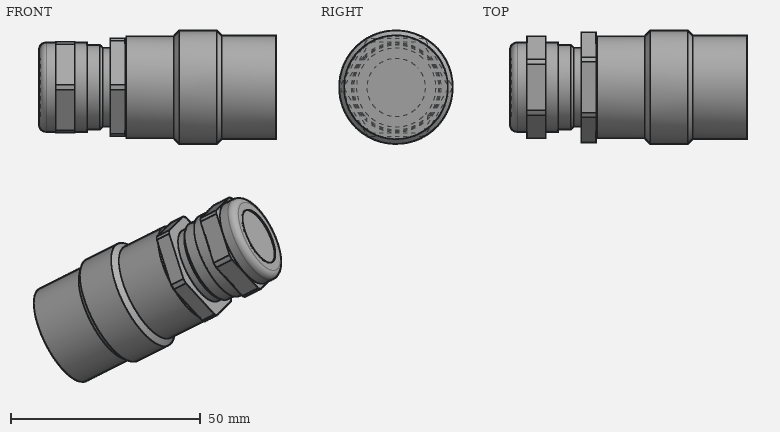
import cadquery as cq

total_length = 62.45

nut_radius = 11.8
nut_rounding = 1.95
nut_end = 12.7
recess_radius = 7.7
recess_depth = 0.3

collar_radius = 11.2
collar_end = 16.8
neck_radius = 10.4
collar_chamfer = collar_radius - neck_radius
undercut_radius = 11.5
undercut_length = 0.3

nut_hex_start = 4.45
nut_hex_length = 5.05
nut_hex_flats = 24.0
nut_hex_corners = 26.9
gland_hex_start = 18.75
gland_hex_length = 3.95
gland_hex_flats = 25.85
gland_hex_corners = 29.1
gland_hex_end = gland_hex_start + gland_hex_length

body_start = gland_hex_end + undercut_length
body_radius = 13.5
sleeve_radius = 15.0
sleeve_front_cone_length = 1.45
sleeve_start = 35.5
sleeve_end = 48.15
tail_radius = 13.7
sleeve_rear_cone_length = sleeve_radius - tail_radius


def rod(start, end, radius):
    """Cylinder along X between two stations."""
    return cq.Workplane("YZ", origin=(start, 0, 0)).circle(radius).extrude(end - start)


def hexagon(start, length, flats, corners):
    """Hexagon along X with flats facing +/-Z and its corners turned round."""
    side_angle = 60
    blank = rod(start, start + length, corners / 2)
    for turn in range(3):
        slab = cq.Workplane("XY").box(length, corners, flats, centered=(False, True, True))
        slab = slab.rotate((0, 0, 0), (1, 0, 0), turn * side_angle)
        blank = blank.intersect(slab.translate((start, 0, 0)))
    return blank


def clamping_nut():
    """Round nut with a rolled front edge and a shallow recess in its face."""
    nut = rod(0, nut_end, nut_radius).faces("<X").edges().fillet(nut_rounding)
    nut = nut.union(hexagon(nut_hex_start, nut_hex_length, nut_hex_flats, nut_hex_corners))
    return nut.cut(rod(0, recess_depth, recess_radius))


def gland():
    """Collar, neck, hexagon and undercut between the nut and the body."""
    collar = rod(nut_end, collar_end, collar_radius).faces(">X").edges().chamfer(collar_chamfer)
    neck = rod(collar_end, gland_hex_start, neck_radius)
    gland_hex = hexagon(gland_hex_start, gland_hex_length, gland_hex_flats, gland_hex_corners)
    undercut = rod(gland_hex_end, body_start, undercut_radius)
    return collar.union(neck).union(gland_hex).union(undercut)


def connector_body():
    """Turned body, coned sleeve and plain tail."""
    return (
        cq.Workplane("XY")
        .moveTo(body_start, 0)
        .lineTo(body_start, body_radius)
        .lineTo(sleeve_start, body_radius)
        .lineTo(sleeve_start + sleeve_front_cone_length, sleeve_radius)
        .lineTo(sleeve_end - sleeve_rear_cone_length, sleeve_radius)
        .lineTo(sleeve_end, tail_radius)
        .lineTo(total_length, tail_radius)
        .lineTo(total_length, 0)
        .close()
        .revolve(360, (0, 0, 0), (1, 0, 0))
    )


result = clamping_nut().union(gland()).union(connector_body())